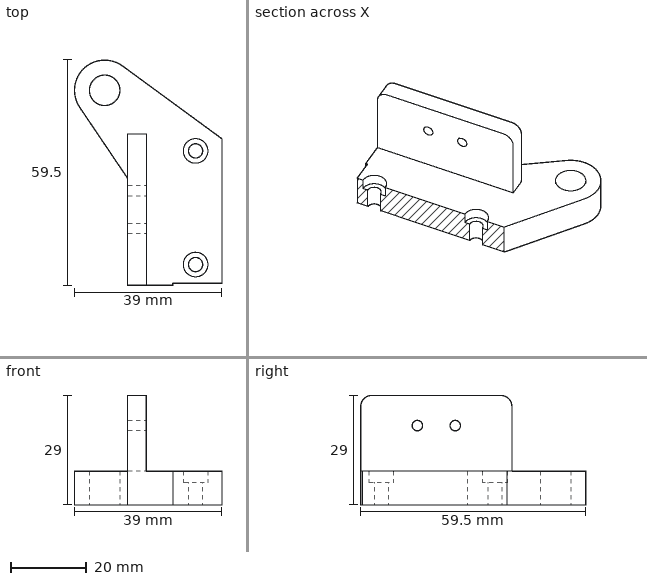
import cadquery as cq
import math

base_width = 25.0
base_height = 9.0
base_right_length = 38.7
base_left_length = 28.3
end_relief_x = 12.0
end_relief_depth = 0.5

lug_x = -6.0
lug_y = 51.5
lug_radius = 8.0
lug_hole_diameter = 8.0

wall_thickness = 5.0
wall_length = 40.0
wall_height = 29.0
wall_corner_radius = 3.0

holes_per_row = 2

wall_hole_diameter = 2.7
wall_hole_z = 21.0
wall_hole_first_y = 15.0
wall_hole_spacing = 10.0

screw_x = 18.0
screw_first_y = 5.5
screw_spacing = 30.0
screw_hole_diameter = 3.7
counterbore_diameter = 6.5
counterbore_depth = 3.0


def lug_tangent(corner, side):
    """Point where a line from the corner touches the lug; side is +1 or -1 around the lug centre."""
    dx = corner[0] - lug_x
    dy = corner[1] - lug_y
    angle = math.atan2(dy, dx) + side * math.acos(lug_radius / math.hypot(dx, dy))
    return (lug_x + lug_radius * math.cos(angle), lug_y + lug_radius * math.sin(angle))


def make_base():
    """Plate whose two flanks run tangentially into the round lug."""
    right_corner = (base_width, base_right_length)
    left_corner = (0, base_left_length)
    right_tangent = lug_tangent(right_corner, 1)
    left_tangent = lug_tangent(left_corner, -1)
    mid_angle = math.atan2(
        right_tangent[1] + left_tangent[1] - 2 * lug_y,
        right_tangent[0] + left_tangent[0] - 2 * lug_x,
    )
    lug_tip = (lug_x + lug_radius * math.cos(mid_angle), lug_y + lug_radius * math.sin(mid_angle))
    return (
        cq.Workplane("XY")
        .moveTo(0, 0)
        .lineTo(end_relief_x, 0)
        .lineTo(end_relief_x, end_relief_depth)
        .lineTo(base_width, end_relief_depth)
        .lineTo(*right_corner)
        .lineTo(*right_tangent)
        .threePointArc(lug_tip, left_tangent)
        .lineTo(*left_corner)
        .close()
        .extrude(base_height)
    )


def make_wall():
    """Upright wall with both top corners rounded."""
    return (
        cq.Workplane("XY")
        .box(wall_thickness, wall_length, wall_height, centered=False)
        .edges("|X and >Z")
        .fillet(wall_corner_radius)
    )


def cut_lug_hole(body):
    """Pivot hole through the lug."""
    pivot = cq.Workplane("XY").center(lug_x, lug_y).circle(lug_hole_diameter / 2).extrude(base_height)
    return body.cut(pivot)


def cut_wall_holes(body):
    """Row of cross holes along Y through the wall thickness."""
    centres = [(wall_hole_first_y + i * wall_hole_spacing, wall_hole_z) for i in range(holes_per_row)]
    holes = cq.Workplane("YZ").pushPoints(centres).circle(wall_hole_diameter / 2).extrude(wall_thickness)
    return body.cut(holes)


def cut_screw_holes(body):
    """Row of through holes counterbored from the top of the plate."""
    centres = [(screw_x, screw_first_y + i * screw_spacing) for i in range(holes_per_row)]
    shanks = cq.Workplane("XY").pushPoints(centres).circle(screw_hole_diameter / 2).extrude(base_height)
    counterbores = (
        cq.Workplane("XY")
        .workplane(offset=base_height - counterbore_depth)
        .pushPoints(centres)
        .circle(counterbore_diameter / 2)
        .extrude(counterbore_depth)
    )
    return body.cut(shanks).cut(counterbores)


result = make_base().union(make_wall())
result = cut_lug_hole(result)
result = cut_wall_holes(result)
result = cut_screw_holes(result)